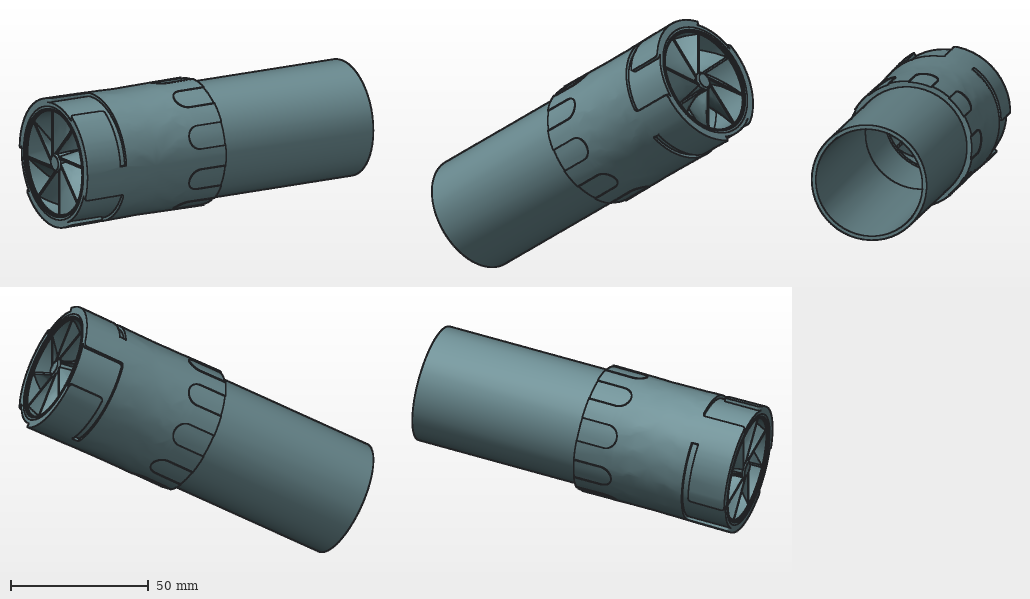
import cadquery as cq
import math

total_length = 122.9

collar_length = 59.0
collar_front_radius = 47.6 / 2
collar_waist_radius = 23.4
collar_rear_radius = 23.6
waist_position = 33.2
bore_radius = 20.9

tube_radius = 42.9 / 2
tube_bore_radius = 19.9
tube_insertion = 14.8
tube_front = collar_length - tube_insertion

slot_count = 3
slot_pitch = 360.0 / slot_count
slot_floor_radius = 22.4
cutter_clearance = 1.2
cutter_radius = collar_front_radius + cutter_clearance
slot_arm_front = 14.1
slot_arm_rear = 16.7
slot_arm_start = 125.0
slot_entry_start = 180.0
slot_end = 217.0
slot_corner_radius = 1.2

flute_count = 9
flute_first_angle = 180.0
flute_width = 8.6
flute_length = 14.6
flute_floor_radius = 23.2

swirler_recess = 0.4
swirler_length = 14.5
blade_recess = 0.6
swirler_ring_radius = tube_bore_radius
swirler_ring_bore = 19.2
ring_chamfer = 0.4
hub_radius = 3.5
hub_chamfer = 0.7
blade_count = 8
blade_thickness = 0.7
blade_offset = 2.3
blade_twist = 360.0 / blade_count
blade_reach = 0.5 * (swirler_ring_radius + swirler_ring_bore)


def hollow_cylinder(outer_radius, inner_radius, front, rear):
    """Pipe along Y between two Y positions."""
    pipe = cq.Workplane("XZ", origin=(0, front, 0)).circle(outer_radius).circle(inner_radius)
    return pipe.extrude(front - rear)


def turn(body, angle):
    """Rotate a body about the Y axis, from +X towards +Z."""
    return body.rotate((0, 0, 0), (0, 1, 0), -angle)


def annular_sector(front, rear, start_angle, end_angle):
    """Slot cutter that sweeps an angle about the Y axis, from the slot floor to outside the collar."""
    section = cq.Workplane("XY").moveTo(slot_floor_radius, front).lineTo(cutter_radius, front)
    section = section.lineTo(cutter_radius, rear).lineTo(slot_floor_radius, rear).close()
    sector = section.revolve(end_angle - start_angle, (0, 0, 0), (0, -1, 0))
    return turn(sector, start_angle)


def collar_blank():
    """Turned collar with a slight waist and a stepped bore that seats the tube."""
    outer_curve = [(collar_waist_radius, waist_position), (collar_rear_radius, collar_length)]
    profile = (
        cq.Workplane("XY")
        .moveTo(bore_radius, 0)
        .lineTo(collar_front_radius, 0)
        .spline(outer_curve, tangents=[(0, 1), (0, 1)], includeCurrent=True)
        .lineTo(tube_radius, collar_length)
        .lineTo(tube_radius, tube_front)
        .lineTo(bore_radius, tube_front)
        .close()
    )
    return profile.revolve(360, (0, 0, 0), (0, 1, 0))


def round_radial_edge(body, angle, position):
    """Round the radial slot edge found at an angle and a Y position."""
    middle_radius = 0.5 * (slot_floor_radius + collar_front_radius)
    x = middle_radius * math.cos(math.radians(angle))
    z = middle_radius * math.sin(math.radians(angle))
    return body.edges(cq.selectors.NearestToPointSelector((x, position, z))).fillet(slot_corner_radius)


def cut_bayonet_slots(body):
    """L-shaped slots: a wide axial entry and a narrow arm around the collar."""
    entry = annular_sector(0, slot_arm_rear, slot_entry_start, slot_end)
    arm = annular_sector(slot_arm_front, slot_arm_rear, slot_arm_start, slot_end)
    slot = entry.union(arm)
    for i in range(slot_count):
        body = body.cut(turn(slot, i * slot_pitch))
    for i in range(slot_count):
        shift = i * slot_pitch
        body = round_radial_edge(body, slot_end + shift, slot_arm_rear)
        body = round_radial_edge(body, slot_entry_start + shift, slot_arm_front)
        body = round_radial_edge(body, slot_end + shift, 0)
        body = round_radial_edge(body, slot_entry_start + shift, 0)
    return body


def cut_grip_flutes(body):
    """Shallow round-ended flutes that open at the rear face of the collar."""
    end_radius = flute_width / 2
    arc_start = collar_length - flute_length + end_radius
    outline = (
        cq.Workplane("XY")
        .moveTo(-end_radius, collar_length)
        .lineTo(-end_radius, arc_start)
        .threePointArc((0, collar_length - flute_length), (end_radius, arc_start))
        .lineTo(end_radius, collar_length)
        .close()
        .extrude(cutter_radius)
    )
    core = cq.Workplane("XZ").circle(flute_floor_radius).extrude(-collar_length)
    flute = turn(outline.cut(core), -90)
    for i in range(flute_count):
        body = body.cut(turn(flute, flute_first_angle + i * 360.0 / flute_count))
    return body


def make_collar():
    return cut_grip_flutes(cut_bayonet_slots(collar_blank())).solids()


def make_tube():
    return hollow_cylinder(tube_radius, tube_bore_radius, tube_front, total_length)


def make_liner():
    """Thin sleeve in the collar bore, from the front face to the end of the tube."""
    return hollow_cylinder(bore_radius, tube_bore_radius, 0, tube_front)


def make_swirler():
    """Ring and hub joined by twisted blades that lie tangent to the hub."""
    ring = cq.Workplane("XY").circle(swirler_ring_radius).circle(swirler_ring_bore).extrude(swirler_length)
    ring = ring.faces("<Z").edges("%CIRCLE").edges(cq.selectors.RadiusNthSelector(0)).chamfer(ring_chamfer)
    hub = cq.Workplane("XY").circle(hub_radius).extrude(swirler_length).faces("<Z").chamfer(hub_chamfer)
    blade_length = swirler_length - blade_recess
    blade = (
        cq.Workplane("XY")
        .moveTo(0, -blade_offset - blade_thickness / 2)
        .lineTo(blade_reach, -blade_offset - blade_thickness / 2)
        .lineTo(blade_reach, -blade_offset + blade_thickness / 2)
        .lineTo(0, -blade_offset + blade_thickness / 2)
        .close()
        .twistExtrude(blade_length, -blade_twist)
        .translate((0, 0, blade_recess))
    )
    swirler = ring.union(hub)
    for i in range(blade_count):
        swirler = swirler.union(blade.rotate((0, 0, 0), (0, 0, 1), i * 360.0 / blade_count))
    return swirler.rotate((0, 0, 0), (1, 0, 0), -90).translate((0, swirler_recess, 0)).solids()


collar = make_collar()
tube = make_tube()
liner = make_liner()
swirler = make_swirler()

result = cq.Compound.makeCompound([collar.val(), tube.val(), liner.val(), swirler.val()])